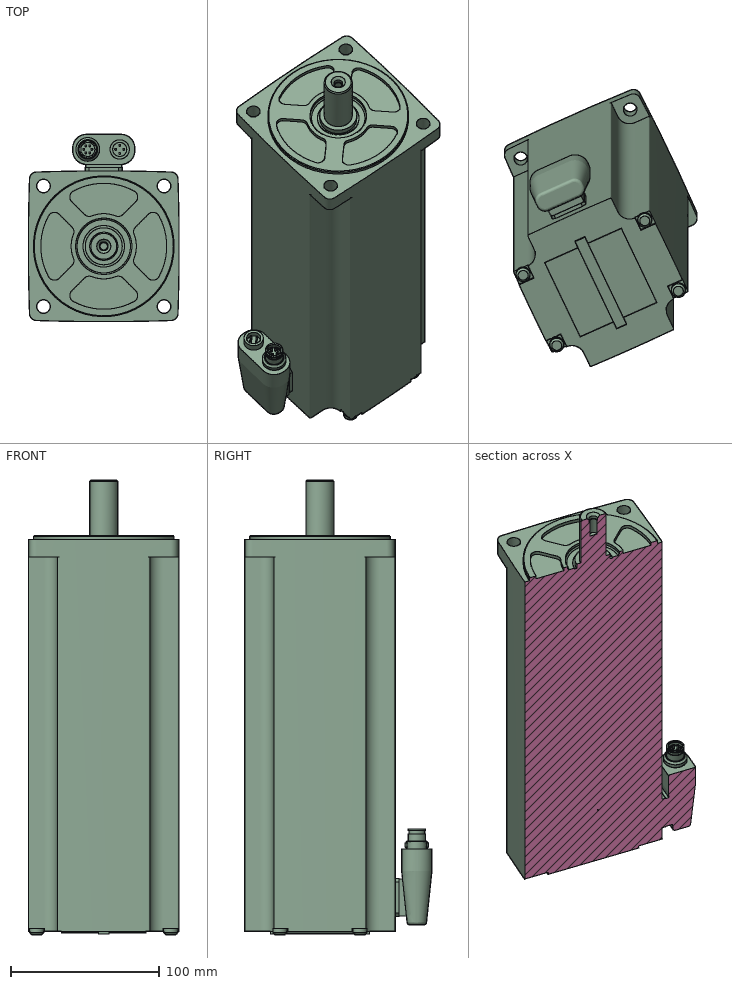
import cadquery as cq
import math


corner_half = 50.0
crown_half = 50.91
flange_thickness = 12.0
flange_corner_radius = 5.0
bolt_circle = 115.0
bolt_hole_diameter = 9.0
body_bottom = -264.4
notch_start = 31.1
notch_inner_radius = 8.8
notch_edge_radius = 0.8

pilot_diameter = 95.0
pilot_height = 2.5
pilot_chamfer = 0.6
pocket_depth = 2.5
pocket_outer_radius = 42.5
pocket_inner_radius = 22.0
pocket_rib_width = 12.0
pocket_corner_radius = 4.5
recess_diameter = 38.0
recess_depth = 3.0
recess_chamfer = 1.0
collar_diameter = 25.0
collar_groove_diameter = 28.0
collar_groove_depth = 0.8

shaft_diameter = 19.0
shaft_length = 40.0
shaft_chamfer = 0.8
center_sink_diameter = 9.5
center_bore_diameter = 6.0
center_bore_depth = 4.0
center_thread_diameter = 4.92
center_thread_depth = 16.0

cover_size = 57.0
cover_thickness = 1.0
rib_width = 7.4
rib_length = 67.0
rib_height = 0.9
screw_x = 45.2
screw_y = 27.0
screw_seat_z = -262.4
screw_head_diameter = 9.5
screw_bottom = -266.7
screw_chamfer = 1.4
seat_width = 10.8

connector_back_y = 75.59
connector_length = 42.0
connector_depth = 20.5
connector_corner_radius = 9.4
connector_top = -208.8
connector_taper_start = -223.8
connector_bottom = -260.0
connector_foot_length = 34.0
connector_foot_depth = 12.9
connector_foot_corner_radius = 5.6
connector_foot_fillet = 2.0

mount_z = -241.5
mount_width = 25.0
mount_height = 25.8
mount_plate_chamfer = 2.5
mount_plate_front_y = 53.3
mount_plate_margin = 0.3

plug_spacing = 21.54
plug_ring_diameter = 16.0
plug_ring_height = 5.3
plug_ring_chamfer = 1.4
plug_neck_diameter = 11.8
plug_top = -195.2
plug_groove_diameter = 10.77
plug_groove_width = 2.2
plug_groove_drop = 1.2
signal_plug_diameter = 13.0
signal_plug_height = 5.0
socket_diameter = 9.5
socket_depth = 4.0
pin_diameter = 1.25
pin_circle = 5.5
pin_length = 3.0
power_pin_count = 6
signal_pin_count = 4

connector_y = connector_back_y - connector_depth / 2


def cylinder(diameter, bottom, top, x=0.0, y=0.0):
    """Upright cylinder between two heights."""
    disc = cq.Workplane("XY", origin=(x, y, bottom)).circle(diameter / 2)
    return disc.extrude(top - bottom)


def bowed_square(bottom, top):
    """Prism whose four sides bulge slightly outward."""
    c = corner_half
    m = crown_half
    outline = (
        cq.Workplane("XY", origin=(0, 0, bottom))
        .moveTo(-c, -c)
        .threePointArc((0, -m), (c, -c))
        .threePointArc((m, 0), (c, c))
        .threePointArc((0, m), (-c, c))
        .threePointArc((-m, 0), (-c, -c))
        .close()
    )
    return outline.extrude(top - bottom)


def make_flange():
    flange = bowed_square(-flange_thickness, 0).edges("|Z").fillet(flange_corner_radius)
    bolt_spacing = bolt_circle / math.sqrt(2)
    holes = (
        cq.Workplane("XY", origin=(0, 0, -flange_thickness))
        .rect(bolt_spacing, bolt_spacing, forConstruction=True)
        .vertices()
        .circle(bolt_hole_diameter / 2)
        .extrude(flange_thickness)
    )
    return flange.cut(holes)


def is_notch_mouth(edge):
    """True for an upright edge where a notch wall meets a bowed side."""
    center = edge.Center()
    side_distance = max(abs(center.x), abs(center.y))
    return side_distance > corner_half


def make_body():
    """Long housing with a rounded notch along each corner."""
    body = bowed_square(body_bottom, -flange_thickness)
    notch_size = crown_half - notch_start
    notch = (
        cq.Workplane("XY", origin=(notch_start, notch_start, body_bottom))
        .rect(notch_size, notch_size, centered=False)
        .extrude(-flange_thickness - body_bottom)
        .edges("|Z and <X and <Y")
        .fillet(notch_inner_radius)
    )
    for angle in (0, 90, 180, 270):
        body = body.cut(notch.rotate((0, 0, 0), (0, 0, 1), angle))
    return body.edges("|Z").filter(is_notch_mouth).fillet(notch_edge_radius)


def make_pocket(angle):
    """Pocket between two ribs lying on the diagonals of the flange."""
    bottom = pilot_height - pocket_depth
    ring = cylinder(2 * pocket_outer_radius, bottom, pilot_height)
    ring = ring.cut(cylinder(2 * pocket_inner_radius, bottom, pilot_height))
    apex = pocket_rib_width / math.sqrt(2)
    reach = pilot_diameter
    wedge = (
        cq.Workplane("XY", origin=(0, 0, bottom))
        .polyline([(0, apex), (reach, apex + reach), (-reach, apex + reach)])
        .close()
        .extrude(pocket_depth)
    )
    pocket = ring.intersect(wedge).edges("|Z").fillet(pocket_corner_radius)
    return pocket.rotate((0, 0, 0), (0, 0, 1), angle)


def make_pilot():
    pilot = cylinder(pilot_diameter, 0, pilot_height).faces(">Z").chamfer(pilot_chamfer)
    for angle in (0, 90, 180, 270):
        pilot = pilot.cut(make_pocket(angle))
    return pilot


def make_recess():
    """Tool for the shaft seal recess, leaving a collar around the shaft with a groove at its foot."""
    floor = pilot_height - recess_depth
    groove_bottom = floor - collar_groove_depth
    recess = cylinder(recess_diameter, floor, pilot_height).faces("<Z").chamfer(recess_chamfer)
    groove = cylinder(collar_groove_diameter, groove_bottom, floor)
    collar = cylinder(collar_diameter, groove_bottom, pilot_height)
    return recess.union(groove).cut(collar)


def make_shaft():
    shaft = cylinder(shaft_diameter, -flange_thickness, shaft_length)
    shaft = shaft.faces(">Z").chamfer(shaft_chamfer)
    thread = cylinder(center_thread_diameter, shaft_length - center_thread_depth, shaft_length)
    bore = cylinder(center_bore_diameter, shaft_length - center_bore_depth, shaft_length)
    sink_depth = (center_sink_diameter - center_bore_diameter) / 2
    sink = cq.Workplane("XY").add(
        cq.Solid.makeCone(
            center_bore_diameter / 2,
            center_sink_diameter / 2,
            sink_depth,
            pnt=cq.Vector(0, 0, shaft_length - sink_depth),
        )
    )
    return shaft.cut(thread).cut(bore).cut(sink)


def make_rear_cover():
    plate_bottom = body_bottom - cover_thickness
    plate = (
        cq.Workplane("XY", origin=(0, 0, plate_bottom))
        .rect(cover_size, cover_size)
        .extrude(cover_thickness)
    )
    rib = (
        cq.Workplane("XY", origin=(0, 0, plate_bottom - rib_height))
        .rect(rib_width, rib_length)
        .extrude(rib_height + cover_thickness)
    )
    return plate.union(rib)


def add_rear_screws(part):
    """Seat a screw head in an open slot near each rear corner."""
    slot_length = crown_half - screw_x + seat_width / 2
    for sx in (-1, 1):
        for sy in (-1, 1):
            slot_x = sx * (crown_half - slot_length / 2)
            slot = (
                cq.Workplane("XY", origin=(slot_x, sy * screw_y, body_bottom))
                .rect(slot_length, seat_width)
                .extrude(screw_seat_z - body_bottom)
            )
            head = cylinder(screw_head_diameter, screw_bottom, screw_seat_z, sx * screw_x, sy * screw_y)
            head = head.faces("<Z").chamfer(screw_chamfer)
            part = part.cut(slot).union(head)
    return part


def rounded_rectangle(length, depth, radius):
    return cq.Sketch().rect(length, depth).vertices().fillet(radius)


def make_connector_housing():
    """Oblong housing that tapers toward its lower end."""
    upper_section = rounded_rectangle(connector_length, connector_depth, connector_corner_radius)
    foot_section = rounded_rectangle(
        connector_foot_length, connector_foot_depth, connector_foot_corner_radius
    )
    upper = (
        cq.Workplane("XY", origin=(0, connector_y, connector_taper_start))
        .placeSketch(upper_section)
        .extrude(connector_top - connector_taper_start)
    )
    drop = connector_bottom - connector_taper_start
    lower = (
        cq.Workplane("XY", origin=(0, connector_y, connector_taper_start))
        .placeSketch(upper_section, foot_section.moved(cq.Location(cq.Vector(0, 0, drop))))
        .loft()
    )
    lower = lower.faces("<Z").edges().fillet(connector_foot_fillet)
    return upper.union(lower)


def make_connector_mount():
    """Block on a plate with chamfered corners, joining the connector to the body."""
    block = (
        cq.Workplane("XZ", origin=(0, mount_plate_front_y, mount_z))
        .rect(mount_width - 2 * mount_plate_margin, mount_height - 2 * mount_plate_margin)
        .extrude(mount_plate_front_y - connector_y)
    )
    plate = (
        cq.Workplane("XZ", origin=(0, corner_half, mount_z))
        .rect(mount_width, mount_height)
        .extrude(corner_half - mount_plate_front_y)
        .edges("|Y")
        .chamfer(mount_plate_chamfer)
    )
    return block.union(plate)


def make_socket(x, top, pin_count):
    """Tool for a blind socket that leaves a circle of contact pins."""
    floor = top - socket_depth
    socket = cylinder(socket_diameter, floor, top, x, connector_y)
    pins = (
        cq.Workplane("XY", origin=(x, connector_y, floor))
        .polarArray(pin_circle / 2, 0, 360, pin_count)
        .circle(pin_diameter / 2)
        .extrude(pin_length)
    )
    return socket.cut(pins)


def make_power_plug():
    x = -plug_spacing / 2
    ring_top = connector_top + plug_ring_height
    ring = cylinder(plug_ring_diameter, connector_top, ring_top, x, connector_y)
    ring = ring.faces("<Z or >Z").chamfer(plug_ring_chamfer)
    neck = cylinder(plug_neck_diameter, connector_top, plug_top, x, connector_y)
    groove_top = plug_top - plug_groove_drop
    groove_bottom = groove_top - plug_groove_width
    groove = cylinder(plug_neck_diameter, groove_bottom, groove_top, x, connector_y)
    groove = groove.cut(cylinder(plug_groove_diameter, groove_bottom, groove_top, x, connector_y))
    return ring.union(neck.cut(groove)).cut(make_socket(x, plug_top, power_pin_count))


def make_signal_plug():
    x = plug_spacing / 2
    top = connector_top + signal_plug_height
    neck = cylinder(signal_plug_diameter, connector_top, top, x, connector_y)
    return neck.cut(make_socket(x, top, signal_pin_count))


motor = make_flange().union(make_body()).union(make_pilot())
motor = motor.cut(make_recess()).union(make_shaft()).union(make_rear_cover())
motor = add_rear_screws(motor)

connector = make_connector_housing().union(make_connector_mount())
connector = connector.union(make_power_plug()).union(make_signal_plug())

result = motor.union(connector)